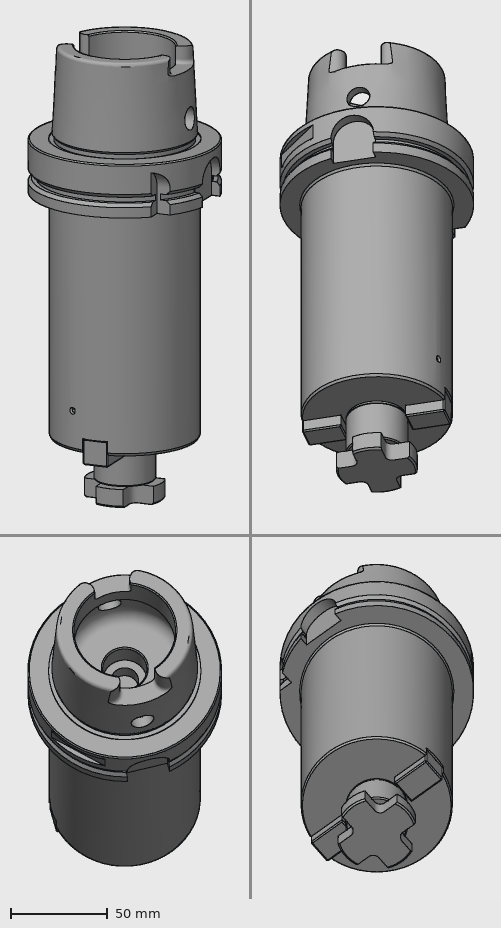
import cadquery as cq
import math

TOTAL_HEIGHT = 243.0
HEAD_HEIGHT = 10.0
BODY_BOTTOM = 33.0
FLANGE_BOTTOM = 164.3
FLANGE_TOP = 193.0

TAPER_BASE_RADIUS = 37.7
TAPER_TOP_RADIUS = 35.2
TAPER_TOP_ROUND = 2.0
RELIEF_RADIUS = 36.7
RELIEF_HEIGHT = 3.0
RELIEF_BEVEL_HEIGHT = 1.2
RELIEF_OUTER_RADIUS = 39.4
RELIEF_DEPTH = 0.7

BORE_RADIUS = 26.2
BORE_CHAMFER = 0.7
BORE_STRAIGHT_DEPTH = 19.5
CLAMP_RADIUS = 31.5
CLAMP_CONE_ANGLE = 30.0
CLAMP_WALL_BOTTOM = 202.2
CLAMP_FLOOR_ROUND = 7.0
TUBE_HOLE_RADIUS = 12.2
TUBE_HOLE_DEPTH = 14.5
TUBE_HOLE_CHAMFER = 0.7
COOLANT_RADIUS = 7.0
COOLANT_DEPTH = 9.7

CROSS_HOLE_RADIUS = 6.0
CROSS_HOLE_HEIGHT = 207.8

DRIVE_SLOT_WIDTH = 19.2
DRIVE_SLOT_DEPTHS = {-1: 14.8, 1: 9.5}
DRIVE_SLOT_FLARE_X = 31.5
DRIVE_SLOT_MOUTH_ROUND = 5.3
DRIVE_SLOT_FLOOR_ROUND = 2.2

FLANGE_RADIUS = 50.0
FLANGE_EDGE_CHAMFER = 0.7
GRIP_GROOVE_RADIUS = 46.0
GRIP_GROOVE_TOP = 175.0
GRIP_GROOVE_BOTTOM = 171.8
GRIP_BEVEL_WIDTH = 1.7
GRIP_BEVEL_HEIGHT = 2.0

FLANGE_SLOT_WIDTH = 22.5
FLANGE_SLOT_TOP = 188.0
FLANGE_SLOT_FLOOR = 44.0

NOTCH_FLOOR_X = 31.8
NOTCH_WALL_Y = -31.0
NOTCH_TOP = 188.3
NOTCH_ROUND = 9.7

DATA_FLAT_DISTANCE = 47.5
DATA_FLAT_BOTTOM = 181.3
DATA_FLAT_HEIGHT = 8.0
DATA_FLAT_ANGLE = 135.0

BODY_RADIUS = 39.1
COLLAR_WIDTH = 0.7
COLLAR_HEIGHT = 1.5
BODY_EDGE_WIDTH = 0.7
BODY_EDGE_HEIGHT = 1.5
SPIGOT_RADIUS = 16.0
UNDERCUT_RADIUS = 15.5
UNDERCUT_HEIGHT = 1.5
SPIGOT_EDGE = 0.7

PORT_HEIGHT = 54.5
PORT_ANGLE = 250.0
PORT_RADIUS = 1.82
PORT_INNER_RADIUS = 1.0
PORT_SINK_DEPTH = 1.0
PORT_DEPTH = 3.0

HEAD_RADIUS = 21.0
HEAD_EDGE_CHAMFER = 1.0
LOBE_WIDTH = 15.3
LOBE_CORNER_ROUND = 3.6

KEY_WIDTH = 14.0
KEY_BOTTOM = 26.5
KEY_TOP = 40.5
KEY_INNER = 17.3
KEY_OUTER = 38.2
KEY_CHAMFER = 0.7
KEY_ANGLES = (0, 180)

OVERCUT = 4.9


def block(x_range, y_range, z_range):
    """Axis-aligned block given by its limits."""
    sizes = [high - low for low, high in (x_range, y_range, z_range)]
    corner = (x_range[0], y_range[0], z_range[0])
    return cq.Workplane("XY").box(*sizes, centered=False).translate(corner)


def turned(shape, angle):
    """Shape turned about the tool axis by an angle in degrees."""
    return shape.rotate((0, 0, 0), (0, 0, 1), angle)


def turned_blank():
    """Outer shape of the arbor from spigot to taper, without the clamping head."""
    profile = [
        (0, HEAD_HEIGHT),
        (SPIGOT_RADIUS - SPIGOT_EDGE, HEAD_HEIGHT),
        (SPIGOT_RADIUS, HEAD_HEIGHT + SPIGOT_EDGE),
        (SPIGOT_RADIUS, BODY_BOTTOM - UNDERCUT_HEIGHT),
        (UNDERCUT_RADIUS, BODY_BOTTOM - UNDERCUT_HEIGHT),
        (UNDERCUT_RADIUS, BODY_BOTTOM),
        (BODY_RADIUS - BODY_EDGE_WIDTH, BODY_BOTTOM),
        (BODY_RADIUS, BODY_BOTTOM + BODY_EDGE_HEIGHT),
        (BODY_RADIUS, FLANGE_BOTTOM - COLLAR_HEIGHT),
        (BODY_RADIUS + COLLAR_WIDTH, FLANGE_BOTTOM),
        (FLANGE_RADIUS, FLANGE_BOTTOM),
        (FLANGE_RADIUS, GRIP_GROOVE_BOTTOM - GRIP_BEVEL_HEIGHT),
        (FLANGE_RADIUS - GRIP_BEVEL_WIDTH, GRIP_GROOVE_BOTTOM),
        (GRIP_GROOVE_RADIUS, GRIP_GROOVE_BOTTOM),
        (GRIP_GROOVE_RADIUS, GRIP_GROOVE_TOP),
        (FLANGE_RADIUS - GRIP_BEVEL_WIDTH, GRIP_GROOVE_TOP),
        (FLANGE_RADIUS, GRIP_GROOVE_TOP + GRIP_BEVEL_HEIGHT),
        (FLANGE_RADIUS, FLANGE_TOP - FLANGE_EDGE_CHAMFER),
        (FLANGE_RADIUS - FLANGE_EDGE_CHAMFER, FLANGE_TOP),
        (RELIEF_OUTER_RADIUS, FLANGE_TOP),
        (RELIEF_OUTER_RADIUS, FLANGE_TOP - RELIEF_DEPTH),
        (RELIEF_RADIUS, FLANGE_TOP - RELIEF_DEPTH),
        (RELIEF_RADIUS, FLANGE_TOP + RELIEF_HEIGHT - RELIEF_BEVEL_HEIGHT),
        (TAPER_BASE_RADIUS, FLANGE_TOP + RELIEF_HEIGHT),
        (TAPER_TOP_RADIUS, TOTAL_HEIGHT),
        (0, TOTAL_HEIGHT),
    ]
    blank = cq.Workplane("XZ").polyline(profile).close().revolve(360, (0, 0, 0), (0, 1, 0))
    return blank.faces(">Z").edges().fillet(TAPER_TOP_ROUND)


def bore_cutter():
    """Stepped bore of the hollow shank, with the clamping chamber and tube seat."""
    cone_top = TOTAL_HEIGHT - BORE_STRAIGHT_DEPTH
    cone_height = (CLAMP_RADIUS - BORE_RADIUS) * math.tan(math.radians(CLAMP_CONE_ANGLE))
    floor = CLAMP_WALL_BOTTOM - CLAMP_FLOOR_ROUND
    floor_radius = CLAMP_RADIUS - CLAMP_FLOOR_ROUND
    round_reach = CLAMP_FLOOR_ROUND * math.sqrt(0.5)
    tube_radius = TUBE_HOLE_RADIUS - TUBE_HOLE_CHAMFER
    tube_floor = floor - TUBE_HOLE_DEPTH
    profile = (
        cq.Workplane("XZ")
        .moveTo(0, TOTAL_HEIGHT)
        .lineTo(BORE_RADIUS + BORE_CHAMFER, TOTAL_HEIGHT)
        .lineTo(BORE_RADIUS, TOTAL_HEIGHT - BORE_CHAMFER)
        .lineTo(BORE_RADIUS, cone_top)
        .lineTo(CLAMP_RADIUS, cone_top - cone_height)
        .lineTo(CLAMP_RADIUS, CLAMP_WALL_BOTTOM)
        .threePointArc((floor_radius + round_reach, CLAMP_WALL_BOTTOM - round_reach), (floor_radius, floor))
        .lineTo(TUBE_HOLE_RADIUS, floor)
        .lineTo(tube_radius, floor - TUBE_HOLE_CHAMFER)
        .lineTo(tube_radius, tube_floor)
        .lineTo(COOLANT_RADIUS, tube_floor)
        .lineTo(COOLANT_RADIUS, tube_floor - COOLANT_DEPTH)
        .lineTo(0, tube_floor - COOLANT_DEPTH)
        .close()
    )
    return profile.revolve(360, (0, 0, 0), (0, 1, 0))


def cross_hole_cutter():
    """Hole straight through both shank walls along X."""
    reach = TAPER_BASE_RADIUS + OVERCUT
    hole = cq.Workplane("YZ").center(0, CROSS_HOLE_HEIGHT).circle(CROSS_HOLE_RADIUS)
    return hole.extrude(reach, both=True)


def drive_slot_cutter(side):
    """Slot in the shank rim on one side of the X axis, with a rounded mouth and floor."""
    half = DRIVE_SLOT_WIDTH / 2
    mouth_start = DRIVE_SLOT_FLARE_X - DRIVE_SLOT_MOUTH_ROUND
    mouth_half = half + DRIVE_SLOT_MOUTH_ROUND
    arc_inset = DRIVE_SLOT_MOUTH_ROUND * (1 - math.sqrt(0.5))
    outer_x = TAPER_BASE_RADIUS + OVERCUT
    outer_y = mouth_half + OVERCUT
    depth = DRIVE_SLOT_DEPTHS[side]
    cutter = (
        cq.Workplane("XY", origin=(0, 0, TOTAL_HEIGHT - depth))
        .moveTo(0, half)
        .lineTo(mouth_start, half)
        .threePointArc((DRIVE_SLOT_FLARE_X - arc_inset, half + arc_inset), (DRIVE_SLOT_FLARE_X, mouth_half))
        .lineTo(DRIVE_SLOT_FLARE_X, outer_y)
        .lineTo(outer_x, outer_y)
        .lineTo(outer_x, -outer_y)
        .lineTo(DRIVE_SLOT_FLARE_X, -outer_y)
        .lineTo(DRIVE_SLOT_FLARE_X, -mouth_half)
        .threePointArc((DRIVE_SLOT_FLARE_X - arc_inset, -half - arc_inset), (mouth_start, -half))
        .lineTo(0, -half)
        .close()
        .extrude(depth)
        .faces("<Z")
        .edges("not(<X or >X or <Y or >Y)")
        .fillet(DRIVE_SLOT_FLOOR_ROUND)
    )
    return cutter if side > 0 else turned(cutter, 180)


def flange_slot_cutter(side):
    """Round-topped keyway in the flange on one side of the X axis."""
    radius = FLANGE_SLOT_WIDTH / 2
    arch_center = FLANGE_SLOT_TOP - radius
    cutter = (
        cq.Workplane("YZ", origin=(FLANGE_SLOT_FLOOR, 0, 0))
        .moveTo(-radius, FLANGE_BOTTOM)
        .lineTo(-radius, arch_center)
        .threePointArc((0, FLANGE_SLOT_TOP), (radius, arch_center))
        .lineTo(radius, FLANGE_BOTTOM)
        .close()
        .extrude(FLANGE_RADIUS - FLANGE_SLOT_FLOOR + OVERCUT)
    )
    return cutter if side > 0 else turned(cutter, 180)


def index_notch_cutter():
    """Square-cornered notch in the flange rim with a rounded ceiling."""
    reach = FLANGE_RADIUS + OVERCUT
    notch = block((NOTCH_FLOOR_X, reach), (-reach, NOTCH_WALL_Y), (FLANGE_BOTTOM, NOTCH_TOP))
    return notch.edges(">Z and >Y").fillet(NOTCH_ROUND)


def data_flat_cutter():
    """Flat on the flange rim opposite the index notch."""
    flat = block(
        (DATA_FLAT_DISTANCE, FLANGE_RADIUS + OVERCUT),
        (-FLANGE_RADIUS, FLANGE_RADIUS),
        (DATA_FLAT_BOTTOM, DATA_FLAT_BOTTOM + DATA_FLAT_HEIGHT),
    )
    return turned(flat, DATA_FLAT_ANGLE)


def port_cutter():
    """Small radial port with a conical mouth near the lower end of the body."""
    profile = [
        (0, BODY_RADIUS - PORT_DEPTH),
        (PORT_INNER_RADIUS, BODY_RADIUS - PORT_DEPTH),
        (PORT_INNER_RADIUS, BODY_RADIUS - PORT_SINK_DEPTH),
        (PORT_RADIUS, BODY_RADIUS),
        (0, BODY_RADIUS),
    ]
    port = cq.Workplane("XZ").polyline(profile).close().revolve(360, (0, 0, 0), (0, 1, 0))
    port = port.rotate((0, 0, 0), (0, 1, 0), 90)
    return turned(port, PORT_ANGLE).translate((0, 0, PORT_HEIGHT))


def clamping_head():
    """Disc with four notches that leave a cross of lobes along X and Y."""
    half = LOBE_WIDTH / 2
    head = cq.Workplane("XY").circle(HEAD_RADIUS).extrude(HEAD_HEIGHT)
    head = head.faces("<Z").edges().chamfer(HEAD_EDGE_CHAMFER)
    notch = block((half, HEAD_RADIUS), (half, HEAD_RADIUS), (0, HEAD_HEIGHT))
    notch = notch.edges("|Z and <X and <Y").fillet(LOBE_CORNER_ROUND)
    for quarter in range(4):
        head = head.cut(turned(notch, 90 * quarter))
    return head


def key_block(outer):
    """Plain key on the -Y side, reaching from its inner end out to the given distance."""
    half = KEY_WIDTH / 2
    return block((-half, half), (-outer, -KEY_INNER), (KEY_BOTTOM, KEY_TOP))


def make_arbor():
    arbor = turned_blank().union(clamping_head())
    arbor = arbor.cut(bore_cutter())
    arbor = arbor.cut(cross_hole_cutter())
    for side in (-1, 1):
        arbor = arbor.cut(drive_slot_cutter(side))
        arbor = arbor.cut(flange_slot_cutter(side))
    arbor = arbor.cut(index_notch_cutter())
    arbor = arbor.cut(data_flat_cutter())
    arbor = arbor.cut(port_cutter())
    key_slot = key_block(BODY_RADIUS + OVERCUT)
    for angle in KEY_ANGLES:
        arbor = arbor.cut(turned(key_slot, angle))
    return arbor


def make_key(angle):
    """Drive key with chamfers around its outer face and its lower face."""
    key = key_block(KEY_OUTER).faces("<Y or <Z").edges().chamfer(KEY_CHAMFER)
    return turned(key, angle)


arbor = make_arbor()
keys = [make_key(angle) for angle in KEY_ANGLES]

result = cq.Compound.makeCompound([arbor.val(), *[key.val() for key in keys]])